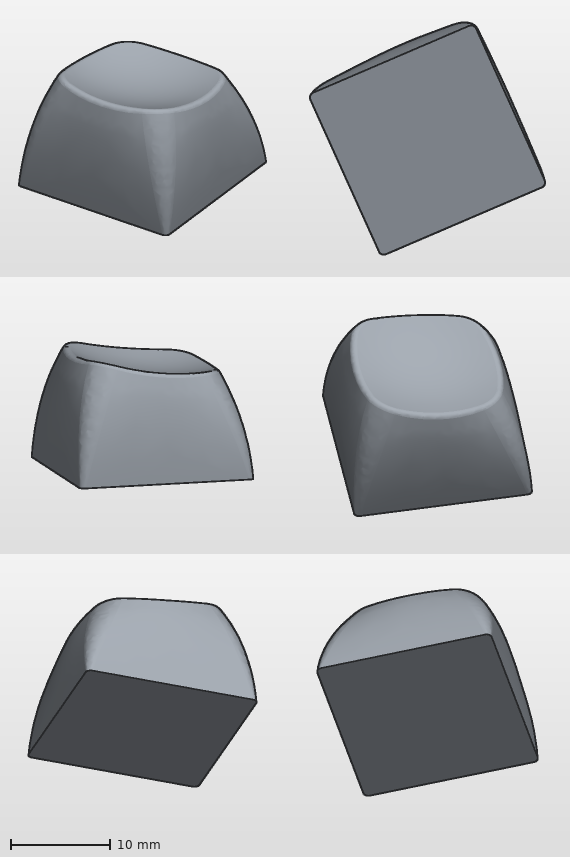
import cadquery as cq
import math

WALL_SECTIONS = [
    (0.0, 9.14, 8.59, 0.0),
    (4.02, 8.99, 7.35, 0.13),
    (8.04, 8.4, 5.85, 0.37),
    (12.79, 6.61, 3.8, 0.62),
]

TOP_SLOPE = 0.16

DISH_RADIUS = 21.92
DISH_CENTER = (0, 2.5, 31.63)
RIM_FILLET = 0.55


def wall_section(height, half_width, side_reach, bulge):
    """Closed outline of four bowed sides joined by tangent corner arcs."""
    end_offset = half_width - bulge
    end_angle = 2 * math.atan(bulge / side_reach)
    corner_radius = (end_offset - side_reach) / (math.cos(end_angle) - math.sin(end_angle))
    corner_center = side_reach - corner_radius * math.sin(end_angle)
    corner_mid = corner_center + corner_radius * math.sqrt(0.5)

    slope = TOP_SLOPE * height / WALL_SECTIONS[-1][0]

    edges = []
    for quarter in range(4):
        turn = math.radians(90 * quarter)

        def place(x, y):
            """Point turned to the current quarter and lifted onto the tilted section plane."""
            turned_y = x * math.sin(turn) + y * math.cos(turn)
            return cq.Vector(
                x * math.cos(turn) - y * math.sin(turn),
                turned_y,
                height - slope * turned_y,
            )

        side_start = place(end_offset, -side_reach)
        side_end = place(end_offset, side_reach)
        corner_end = place(side_reach, end_offset)
        if bulge > 0:
            side = cq.Edge.makeThreePointArc(side_start, place(half_width, 0), side_end)
        else:
            side = cq.Edge.makeLine(side_start, side_end)
        edges.append(side)
        edges.append(cq.Edge.makeThreePointArc(side_end, place(corner_mid, corner_mid), corner_end))
    return cq.Wire.assembleEdges(edges)


def make_walls():
    return cq.Workplane(cq.Solid.makeLoft([wall_section(*section) for section in WALL_SECTIONS]))


def make_dish():
    sphere = cq.Workplane().sphere(DISH_RADIUS).rotate((0, 0, 0), (0, 1, 0), -90)
    return sphere.translate(DISH_CENTER)


body = make_walls().cut(make_dish())
dish_face = body.faces("%SPHERE")
result = dish_face.edges().fillet(RIM_FILLET)